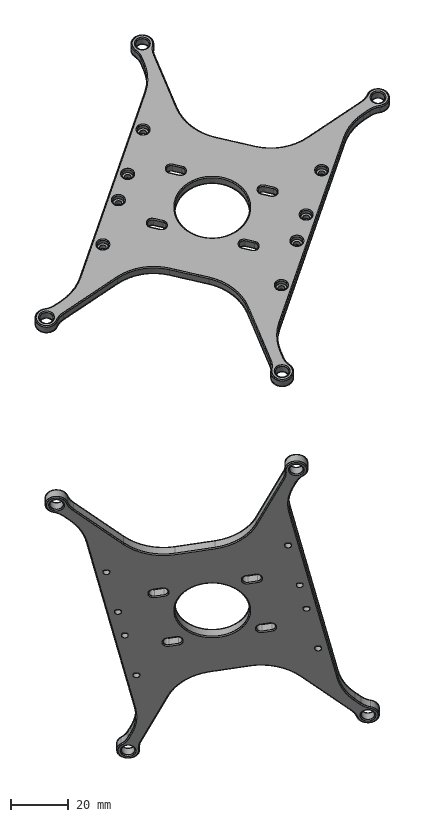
import cadquery as cq
import math

LENGTH = 130.5
WIDTH = 93.0
THICKNESS = 4.0
EDGE_CHAMFER = 0.4

BODY_WIDTH = 72.3
WAIST_LENGTH = 59.2
BODY_FILLET = 20.0

EYE_DIAMETER = 8.0
EYE_HOLE = 4.7
ARM_WIDTH = 5.0
ARM_FILLET = 7.6
EYE_X = (WIDTH - EYE_DIAMETER) / 2
EYE_Y = (LENGTH - EYE_DIAMETER) / 2
ARM_LENGTH = math.hypot(EYE_X, EYE_Y)
ARM_ANGLE = math.atan2(EYE_Y, EYE_X)

SHOULDER_X = BODY_WIDTH / 2
SHOULDER_Y = SHOULDER_X * math.tan(ARM_ANGLE) - ARM_WIDTH / 2 / math.cos(ARM_ANGLE)
WAIST_Y = WAIST_LENGTH / 2
WAIST_X = WAIST_Y / math.tan(ARM_ANGLE) - ARM_WIDTH / 2 / math.sin(ARM_ANGLE)

NECK_Y = (SHOULDER_Y + EYE_Y) / 2

CENTER_HOLE = 26.0
SLOT_WIDTH = 3.3
SLOT_LENGTH = 6.7
SLOT_X = 16.6
SLOT_Y = 12.1
SCREW_HOLE = 2.3
SCREW_HEAD = 4.0
SCREW_HEAD_DEPTH = 2.0
SCREW_X = 32.2
SCREW_ROWS = (5.9, 25.7)


def mirrored(x, y):
    """The four points mirrored about both centre lines."""
    return [(x, y), (-x, y), (-x, -y), (x, -y)]


def make_body():
    """Central slab with a notch at each short side, its corners reaching into the arms."""
    outline = [
        (SHOULDER_X, -SHOULDER_Y),
        (SHOULDER_X, SHOULDER_Y),
        (WAIST_X, WAIST_Y),
        (-WAIST_X, WAIST_Y),
        (-SHOULDER_X, SHOULDER_Y),
        (-SHOULDER_X, -SHOULDER_Y),
        (-WAIST_X, -WAIST_Y),
        (WAIST_X, -WAIST_Y),
    ]
    return cq.Workplane("XY").polyline(outline).close().extrude(THICKNESS)


def make_diagonal(angle):
    """Bar through the centre that forms two opposite arms."""
    bar = cq.Workplane("XY").rect(2 * ARM_LENGTH, ARM_WIDTH).extrude(THICKNESS)
    return bar.rotate((0, 0, 0), (0, 0, 1), math.degrees(angle))


def make_eyes():
    """Round ends of the four arms."""
    eyes = cq.Workplane("XY").pushPoints(mirrored(EYE_X, EYE_Y))
    return eyes.circle(EYE_DIAMETER / 2).extrude(THICKNESS)


def upright_edges(plate, y_min, y_max):
    """Upright corner edges that lie between two distances from the X axis."""
    edges = plate.edges("|Z")
    return edges.filter(lambda edge: y_min < abs(edge.Center().y) < y_max)


def make_plate():
    """Body, arms and eyes as one slab with rounded inside corners."""
    plate = make_body()
    plate = plate.union(make_diagonal(ARM_ANGLE))
    plate = plate.union(make_diagonal(-ARM_ANGLE))
    plate = plate.union(make_eyes())
    plate = upright_edges(plate, NECK_Y, LENGTH / 2).fillet(ARM_FILLET)
    return upright_edges(plate, 0, (SHOULDER_Y + NECK_Y) / 2).fillet(BODY_FILLET)


def top_plane(plate):
    """Work plane on the top face, centred on the plate."""
    return plate.faces(">Z").workplane(origin=(0, 0, 0))


def cut_center_and_eye_holes(plate):
    """Large centre opening and the mounting hole in each eye."""
    plate = top_plane(plate).hole(CENTER_HOLE)
    return top_plane(plate).pushPoints(mirrored(EYE_X, EYE_Y)).hole(EYE_HOLE)


def cut_slots(plate):
    """Four slots around the centre opening."""
    slots = top_plane(plate).pushPoints(mirrored(SLOT_X, SLOT_Y))
    return slots.slot2D(SLOT_LENGTH, SLOT_WIDTH).cutThruAll()


def screw_cylinders(diameter, bottom):
    """Cylinders at all screw positions, from the given height up to the top face."""
    points = [point for y in SCREW_ROWS for point in mirrored(SCREW_X, y)]
    cylinders = cq.Workplane("XY", origin=(0, 0, bottom)).pushPoints(points)
    return cylinders.circle(diameter / 2).extrude(THICKNESS - bottom)


plate = cut_center_and_eye_holes(make_plate())
plate = cut_slots(plate)
plate = plate.cut(screw_cylinders(SCREW_HEAD, THICKNESS - SCREW_HEAD_DEPTH))

plate = plate.faces("<Z or >Z").edges().chamfer(EDGE_CHAMFER)
result = plate.cut(screw_cylinders(SCREW_HOLE, 0))